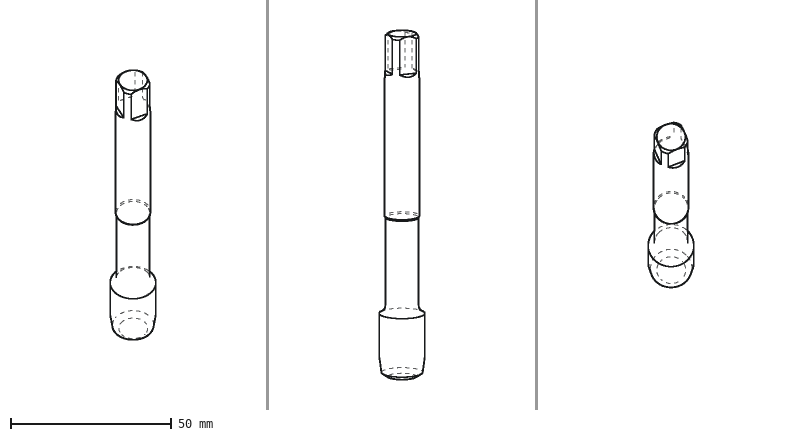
import cadquery as cq
import math

total_length = 110.0

head_radius = 14.3 / 2
lead_radius = 6.5
tip_radius = 4.5
tip_height = 1.3
lead_top = 6.3
head_top = 20.2

neck_radius = 10.5 / 2
grip_radius = 11.0 / 2
drive_radius = 10.7 / 2
flare_radius = 2.8
grip_bottom = 51.6
grip_top = 96.0
grip_chamfer = 0.5
end_chamfer = 0.9

square_size = 9.0
flat_bottom = 98.0
cutter_width = 2 * drive_radius
cutter_depth = 1.1


def make_head():
    """Revolved cutting head with a tapered lead and a chamfered tip."""
    return (
        cq.Workplane("XZ")
        .lineTo(tip_radius, 0)
        .lineTo(lead_radius, tip_height)
        .lineTo(head_radius, lead_top)
        .lineTo(head_radius, head_top)
        .lineTo(0, head_top)
        .close()
        .revolve(360, (0, 0), (0, 1))
    )


def make_shank_blank():
    """Revolved shank: concave flare, neck, grip and round drive end."""
    flare_center_r = neck_radius + flare_radius
    flare_end_angle = math.acos((flare_center_r - head_radius) / flare_radius)
    flare_top = head_top + flare_radius * math.sin(flare_end_angle)
    flare_middle = (
        flare_center_r - flare_radius * math.cos(flare_end_angle / 2),
        flare_top - flare_radius * math.sin(flare_end_angle / 2),
    )
    return (
        cq.Workplane("XZ")
        .moveTo(0, head_top)
        .lineTo(head_radius, head_top)
        .threePointArc(flare_middle, (neck_radius, flare_top))
        .lineTo(neck_radius, grip_bottom - grip_chamfer)
        .lineTo(grip_radius, grip_bottom)
        .lineTo(grip_radius, grip_top - grip_chamfer)
        .lineTo(drive_radius, grip_top)
        .lineTo(drive_radius, total_length - end_chamfer)
        .lineTo(drive_radius - end_chamfer, total_length)
        .lineTo(0, total_length)
        .close()
        .revolve(360, (0, 0), (0, 1))
    )


def make_flat_cutter():
    """Block that mills the +X flat, with a 45 degree run-out at its lower end."""
    inner_x = square_size / 2
    outer_x = inner_x + cutter_depth
    return (
        cq.Workplane("XZ")
        .moveTo(inner_x, flat_bottom)
        .lineTo(outer_x, flat_bottom - cutter_depth)
        .lineTo(outer_x, total_length)
        .lineTo(inner_x, total_length)
        .close()
        .extrude(cutter_width / 2, both=True)
    )


def make_shank():
    """Shank with four flats forming the square drive."""
    shank = make_shank_blank()
    flat_count = 4
    for i in range(flat_count):
        cutter = make_flat_cutter().rotate((0, 0, 0), (0, 0, 1), i * 360 / flat_count)
        shank = shank.cut(cutter)
    return shank


head = make_head()
shank = make_shank()

result = cq.Compound.makeCompound([head.val(), shank.val()])